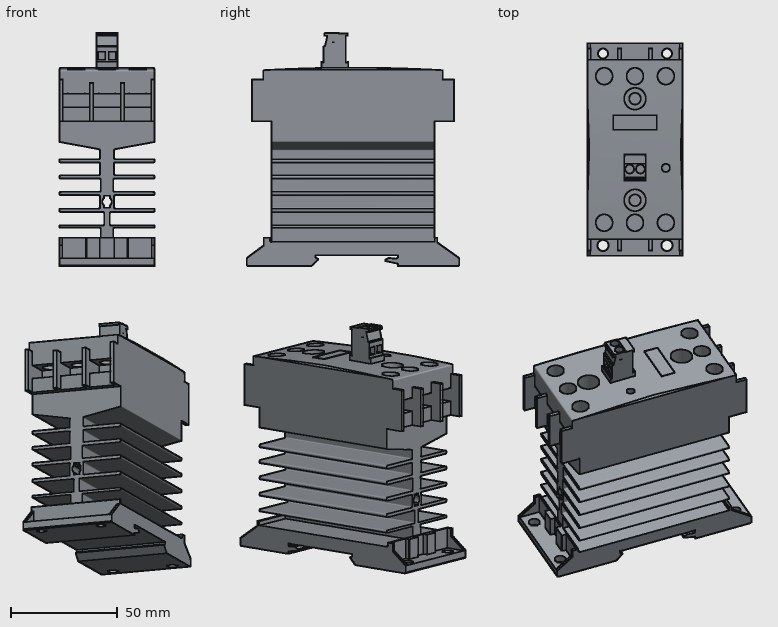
import cadquery as cq

width = 44.8
length = 99.8
half_width = width / 2
total_height = 109.5

base_deck_z = 11.4
sink_top_z = 61.8
terminal_floor_z = 67.9
crown_z = 93.2

base_half_length = length / 2
base_toe_z = 3.8
base_edge_chamfer = 0.5
lip_top_z = 13.4
rim_thickness = 1.3
front_rim_y = -41.9
front_rim_shoulder_z = 9.7
front_lip_back_y = -39.0
lip_groove_depth = 0.7
front_wall_y = -39.7
rear_wall_y = 39.5
rear_rim_z = 11.2
rail_roof_z = 5.0
clip_y = 21.0
clip_tip_y = 15.1
clip_crest_y = 17.0
clip_dip_y = 20.1
clip_bottom_z = 1.1
clip_tip_bottom_z = 2.4
clip_tip_top_z = 3.1
clip_crest_z = 3.9
clip_dip_z = 3.5
hook_root_y = -17.5
hook_tip_y = -16.2
hook_foot_y = -19.5
hook_tip_z = 3.3
rail_slot_z = 4.0
post_outer_x = 9.9
post_chamfer = 0.3
mount_hole_x = 15.0
mount_hole_y = 45.0
front_mount_hole_dia = 5.1
rear_mount_hole_dia = 4.6

sink_half_length = 38.3
wedge_edge_z = 58.3
wedge_root_z = 54.8
fin_tops = [50.3, 42.7, 34.9, 27.0, 19.2]
fin_thicknesses = [1.6, 1.6, 1.6, 1.6, 1.2]

wide_web = 6.7 / 2
medium_web = 5.9 / 2
narrow_web = 2.7 / 2
webs_below = [wide_web, medium_web, wide_web, narrow_web, medium_web]

root_fillet = 0.5
wedge_fillet = 0.4

channel_z = 30.2
channel_dia = 4.4
channel_slot_width = 2.7
channel_slot_height = 5.6

housing_half_length = 42.2
housing_end_z = 92.0
side_rounding = 1.0
front_rounding = 0.8

plate_reach_y = 47.4
outer_plate_thickness = 1.6
outer_plate_top_z = 87.6
inner_plate_thickness = 1.8
inner_plate_spacing = 14.6
inner_plate_top_z = 86.0
plate_corner_chamfer = 0.2
recess_bottom_z = 74.6
recess_top_z = 80.9
recess_back_y = 30.1

terminal_hole_dia = 7.9
terminal_hole_x = 14.5
terminal_hole_y = 34.4
screw_spacing = 47.6
screw_y = screw_spacing / 2
screw_head_dia = 10.2
screw_dia = 5.5
lamp_hole_dia = 3.8
lamp_hole_depth = 3.3
lamp_hole_y = -8.7
label_length = 20.3
label_width = 6.8
label_y = 12.6
label_depth = 0.3

plug_half_width = 5.0
plug_foot_z = 95.5
plug_foot_rim_z = 95.9
plug_step_z = 103.0
plug_slope_z = 103.5
plug_cap_z = 108.1
plug_cap_rear_z = 109.2
plug_cap_chamfer = 0.7
wire_pitch = 5.0
plug_screw_y = -9.2
plug_screw_dia = 4.2
plug_screw_depth = 4.4
window_width = 3.3
window_height = 3.6
window_z = 98.8
window_depth = 3.3
plug_face_y = -13.9
plug_back_y = -3.3
plug_foot_front_y = -14.8
plug_foot_rear_y = -2.2
plug_cap_front_y = -13.6
plug_cap_step_y = -6.8
plug_cap_back_y = -2.5
plug_slope_bottom_y = -13.1
plug_slope_top_y = -12.0


def box(x0, x1, y0, y1, z0, z1):
    """Box between two opposite corners."""
    return cq.Workplane("XY").box(x1 - x0, y1 - y0, z1 - z0, centered=False).translate((x0, y0, z0))


def side_profile(points, half_thickness):
    """Solid with a (y, z) outline, centred on X = 0."""
    return cq.Workplane("YZ").polyline(points).close().extrude(half_thickness, both=True)


def both_sides(shape):
    """The shape together with its mirror image across X = 0."""
    return shape.union(shape.mirror("YZ"))


def both_ends(shape):
    """The shape together with its mirror image across Y = 0."""
    return shape.union(shape.mirror("XZ"))


def hole(x, y, bottom_z, diameter):
    """Vertical cutter from bottom_z up past the top of the part."""
    return cq.Workplane("XY", origin=(x, y, bottom_z)).circle(diameter / 2).extrude(total_height)


def make_base():
    outline = [
        (-base_half_length, base_edge_chamfer),
        (-base_half_length, base_toe_z),
        (front_rim_y, front_rim_shoulder_z),
        (front_rim_y, lip_top_z),
        (front_lip_back_y, lip_top_z),
        (front_lip_back_y, base_deck_z + lip_groove_depth),
        (-sink_half_length, base_deck_z),
        (sink_half_length, base_deck_z),
        (sink_half_length, lip_top_z),
        (rear_wall_y, lip_top_z),
        (rear_wall_y, rear_rim_z),
        (base_half_length, base_toe_z),
        (base_half_length, base_edge_chamfer),
        (base_half_length - base_edge_chamfer, 0),
        (clip_y, 0),
        (clip_y, clip_bottom_z),
        (clip_tip_y, clip_tip_bottom_z),
        (clip_tip_y, clip_tip_top_z),
        (clip_crest_y, clip_crest_z),
        (clip_dip_y, clip_dip_z),
        (clip_y, rail_slot_z),
        (clip_y, rail_roof_z),
        (hook_root_y, rail_roof_z),
        (hook_root_y, rail_slot_z),
        (hook_tip_y, hook_tip_z),
        (hook_foot_y, 0),
        (base_edge_chamfer - base_half_length, 0),
    ]
    base = side_profile(outline, half_width)

    ledge_x = half_width - rim_thickness
    base = base.cut(box(-ledge_x, ledge_x, -base_half_length, front_wall_y, base_toe_z, lip_top_z))
    base = base.cut(box(-ledge_x, ledge_x, rear_wall_y, base_half_length, base_toe_z, lip_top_z))

    posts = box(wide_web, post_outer_x, front_rim_y, front_wall_y, base_toe_z, lip_top_z)
    posts = posts.faces("<Y").edges(">X").chamfer(post_chamfer)
    base = base.union(both_sides(posts))

    for x in (-mount_hole_x, mount_hole_x):
        base = base.cut(hole(x, -mount_hole_y, 0, front_mount_hole_dia))
        base = base.cut(hole(x, mount_hole_y, 0, rear_mount_hole_dia))
    return base


def fin_gap(web, bottom_z, top_root_z, top_edge_z):
    """Air gap right of the web, with rounded corners where the fins meet the web."""
    outline = [
        (web, bottom_z),
        (half_width, bottom_z),
        (half_width, top_edge_z),
        (web, top_root_z),
    ]
    gap = cq.Workplane("XZ").polyline(outline).close().extrude(sink_half_length, both=True)
    return gap.faces("<X").edges("|Y").fillet(root_fillet)


def fin_tip_waste(top_z, thickness):
    """Material to remove from the +X edge of a fin to leave it fully rounded."""
    radius = thickness / 2
    axis_x = half_width - radius
    corners = box(axis_x, half_width, -sink_half_length, sink_half_length, top_z - thickness, top_z)
    round_edge = cq.Workplane("XZ").circle(radius).extrude(sink_half_length, both=True)
    return corners.cut(round_edge.translate((axis_x, 0, top_z - radius)))


def make_heat_sink():
    sink = box(-half_width, half_width, -sink_half_length, sink_half_length, base_deck_z, sink_top_z)
    sink = sink.cut(both_sides(fin_gap(wide_web, fin_tops[0], wedge_root_z, wedge_edge_z)))
    wedge_zone = cq.selectors.BoxSelector(
        (-width, -1.1, wedge_edge_z - wedge_fillet),
        (width, 1.1, wedge_edge_z + wedge_fillet),
    )
    sink = sink.edges("|Y").edges(wedge_zone).fillet(wedge_fillet)

    gap_floors = fin_tops[1:] + [base_deck_z - root_fillet]
    for top, thickness, floor, web in zip(fin_tops, fin_thicknesses, gap_floors, webs_below):
        roof = top - thickness
        sink = sink.cut(both_sides(fin_gap(web, floor, roof, roof)))
        sink = sink.cut(both_sides(fin_tip_waste(top, thickness)))

    channel = cq.Workplane("XZ").circle(channel_dia / 2).extrude(sink_half_length, both=True)
    slot = cq.Workplane("XZ").rect(channel_slot_width, channel_slot_height)
    slot = slot.extrude(sink_half_length, both=True)
    return sink.cut(channel.union(slot).translate((0, 0, channel_z)))


def make_housing():
    """Housing shell: the top is arched along Y and rounded along both sides."""
    arched = (
        cq.Workplane("YZ")
        .moveTo(-housing_half_length, terminal_floor_z)
        .lineTo(-housing_half_length, housing_end_z)
        .threePointArc((0, crown_z), (housing_half_length, housing_end_z))
        .lineTo(housing_half_length, terminal_floor_z)
        .close()
        .extrude(half_width, both=True)
    )
    arched = arched.faces("<Y").edges(">Z").fillet(front_rounding)

    envelope = box(
        -half_width, half_width,
        -housing_half_length, housing_half_length,
        terminal_floor_z, crown_z,
    )
    envelope = envelope.edges("|Y and >Z").fillet(side_rounding)
    skirt = box(-half_width, half_width, -sink_half_length, sink_half_length, sink_top_z, terminal_floor_z)
    return arched.intersect(envelope).union(skirt)


def add_terminals(housing):
    """Open recesses for the terminals, separated by plates that stand out at both ends."""
    recess_back = -recess_back_y
    recess = box(
        outer_plate_thickness - half_width, half_width - outer_plate_thickness,
        -housing_half_length, recess_back,
        recess_bottom_z, recess_top_z,
    )
    housing = housing.cut(both_ends(recess))

    outer_plate = box(
        half_width - outer_plate_thickness, half_width,
        -plate_reach_y, recess_back,
        terminal_floor_z, outer_plate_top_z,
    )
    inner_plate_x = inner_plate_spacing / 2
    inner_plate = box(
        inner_plate_x - inner_plate_thickness / 2, inner_plate_x + inner_plate_thickness / 2,
        -plate_reach_y, recess_back,
        terminal_floor_z, inner_plate_top_z,
    )
    for plate in (outer_plate, inner_plate):
        plate = plate.faces("<Y").edges(">Z").chamfer(plate_corner_chamfer)
        housing = housing.union(both_ends(both_sides(plate)))
    return housing


def cut_top_openings(housing):
    for y in (-terminal_hole_y, terminal_hole_y):
        for x in (-terminal_hole_x, 0, terminal_hole_x):
            housing = housing.cut(hole(x, y, recess_bottom_z, terminal_hole_dia))
    for y in (-screw_y, screw_y):
        housing = housing.cut(hole(0, y, terminal_floor_z, screw_head_dia))
        housing = housing.cut(hole(0, y, sink_top_z, screw_dia))
    housing = housing.cut(hole(terminal_hole_x, lamp_hole_y, crown_z - lamp_hole_depth, lamp_hole_dia))

    label = box(
        -label_length / 2, label_length / 2,
        label_y - label_width / 2, label_y + label_width / 2,
        crown_z - label_depth, total_height,
    )
    return housing.cut(label)


def make_plug():
    outline = [
        (plug_foot_front_y, housing_end_z),
        (plug_foot_front_y, plug_foot_rim_z),
        (plug_face_y, plug_foot_z),
        (plug_face_y, plug_step_z),
        (plug_slope_bottom_y, plug_slope_z),
        (plug_slope_top_y, plug_cap_z),
        (plug_cap_front_y, plug_cap_z),
        (plug_cap_front_y, total_height - plug_cap_chamfer),
        (plug_cap_front_y + plug_cap_chamfer, total_height),
        (plug_cap_step_y, total_height),
        (plug_cap_step_y, plug_cap_rear_z),
        (plug_cap_back_y, plug_cap_rear_z),
        (plug_cap_back_y, plug_cap_z),
        (plug_back_y, plug_cap_z),
        (plug_back_y, plug_foot_z),
        (plug_foot_rear_y, plug_foot_rim_z),
        (plug_foot_rear_y, housing_end_z),
    ]
    plug = side_profile(outline, plug_half_width)
    for x in (-wire_pitch / 2, wire_pitch / 2):
        plug = plug.cut(hole(x, plug_screw_y, total_height - plug_screw_depth, plug_screw_dia))
        window = cq.Workplane("XY").box(window_width, 2 * window_depth, window_height)
        plug = plug.cut(window.translate((x, plug_face_y, window_z)))
    return plug


housing = cut_top_openings(add_terminals(make_housing()))
result = make_base().union(make_heat_sink()).union(housing).union(make_plug())